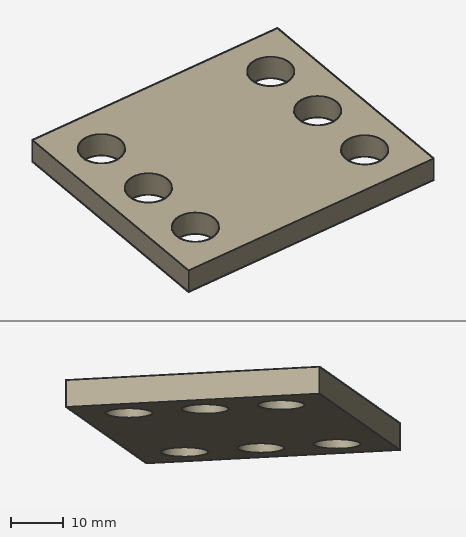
import cadquery as cq

width = 50.0
length = 58.0
thickness = 5.2

hole_diameter = 9.0
holes_per_row = 3
hole_pitch = 15.0
row_count = 2
row_spacing = 40.0

plate = cq.Workplane("XY").box(width, length, thickness)

result = (
    plate.faces(">Z")
    .workplane()
    .rarray(hole_pitch, row_spacing, holes_per_row, row_count)
    .hole(hole_diameter)
)